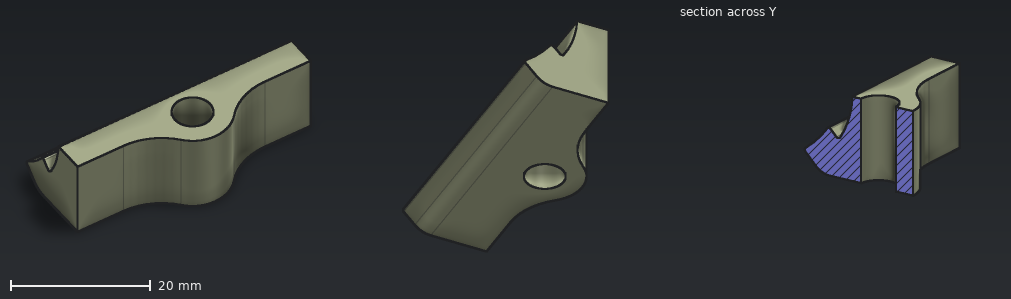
import cadquery as cq
import math

LENGTH = 40.0
HEIGHT = 13.0
BACK_X = 0.45

HOLE_DIAMETER = 6.0
BOSS_RADIUS = 6.0
BLEND_RADIUS = 10.0

UPPER_SEAT_CENTER = (-18.05, 13.6)
UPPER_SEAT_RADIUS = 13.5
LOWER_SEAT_CENTER = (-23.13, 17.65)
LOWER_SEAT_RADIUS = 17.62

STEP_SUM = -1.06
UNDERSIDE_SUM = -9.95

EDGE_RADIUS = 0.4
BOTTOM_RADIUS = 3.6


def seat_point(center, radius, angle):
    """Point on a seat arc at an angle measured from +X toward +Z."""
    return (center[0] + radius * math.cos(angle), center[1] + radius * math.sin(angle))


def seat_angle(center, point):
    """Angle of a point as seen from a seat centre."""
    return math.atan2(point[1] - center[1], point[0] - center[0])


def seat_meets_slope(center, radius, slope_sum):
    """Lower right crossing of a seat circle with the line x + z = slope_sum."""
    offset = (slope_sum - center[0] - center[1]) / math.sqrt(2)
    angle = math.pi / 4 - math.acos(offset / radius)
    return seat_point(center, radius, angle)


def seat_middle(center, radius, start, end):
    """Middle point of a seat arc between two of its points."""
    angle = (seat_angle(center, start) + seat_angle(center, end)) / 2
    return seat_point(center, radius, angle)


def edge_along_bar(body, point):
    """Select the edge parallel to Y that passes through an (x, z) point."""
    return body.edges("|Y").edges(cq.selectors.NearestToPointSelector((point[0], 0, point[1])))


def make_jaw():
    """Full length bar with the stepped double seat and rounded edges."""
    top_angle = math.asin((HEIGHT - UPPER_SEAT_CENTER[1]) / UPPER_SEAT_RADIUS)
    top = seat_point(UPPER_SEAT_CENTER, UPPER_SEAT_RADIUS, top_angle)
    groove = seat_meets_slope(UPPER_SEAT_CENTER, UPPER_SEAT_RADIUS, STEP_SUM)
    ridge = seat_meets_slope(LOWER_SEAT_CENTER, LOWER_SEAT_RADIUS, STEP_SUM)
    tip = seat_meets_slope(LOWER_SEAT_CENTER, LOWER_SEAT_RADIUS, UNDERSIDE_SUM)
    bottom = (UNDERSIDE_SUM, 0)

    body = (
        cq.Workplane("XZ")
        .moveTo(BACK_X, 0)
        .lineTo(BACK_X, HEIGHT)
        .lineTo(*top)
        .threePointArc(seat_middle(UPPER_SEAT_CENTER, UPPER_SEAT_RADIUS, top, groove), groove)
        .lineTo(*ridge)
        .threePointArc(seat_middle(LOWER_SEAT_CENTER, LOWER_SEAT_RADIUS, ridge, tip), tip)
        .lineTo(*bottom)
        .close()
        .extrude(LENGTH / 2, both=True)
    )
    for corner in (groove, ridge, tip):
        body = edge_along_bar(body, corner).fillet(EDGE_RADIUS)
    return edge_along_bar(body, bottom).fillet(BOTTOM_RADIUS)


def make_boss():
    """Round boss on the back face with a tangent concave blend on each side."""
    blend_x = BACK_X + BLEND_RADIUS
    center_distance = BOSS_RADIUS + BLEND_RADIUS
    blend_y = math.sqrt(center_distance**2 - blend_x**2)
    tangent_x = blend_x * BOSS_RADIUS / center_distance
    tangent_y = blend_y * BOSS_RADIUS / center_distance

    half_turn = math.atan2(blend_y, blend_x) / 2
    middle_x = blend_x - BLEND_RADIUS * math.cos(half_turn)
    middle_y = blend_y - BLEND_RADIUS * math.sin(half_turn)

    return (
        cq.Workplane("XY")
        .moveTo(0, -blend_y)
        .lineTo(BACK_X, -blend_y)
        .threePointArc((middle_x, -middle_y), (tangent_x, -tangent_y))
        .threePointArc((BOSS_RADIUS, 0), (tangent_x, tangent_y))
        .threePointArc((middle_x, middle_y), (BACK_X, blend_y))
        .lineTo(0, blend_y)
        .close()
        .extrude(HEIGHT)
    )


hole = cq.Workplane("XY").circle(HOLE_DIAMETER / 2).extrude(HEIGHT)
result = make_jaw().union(make_boss()).cut(hole)